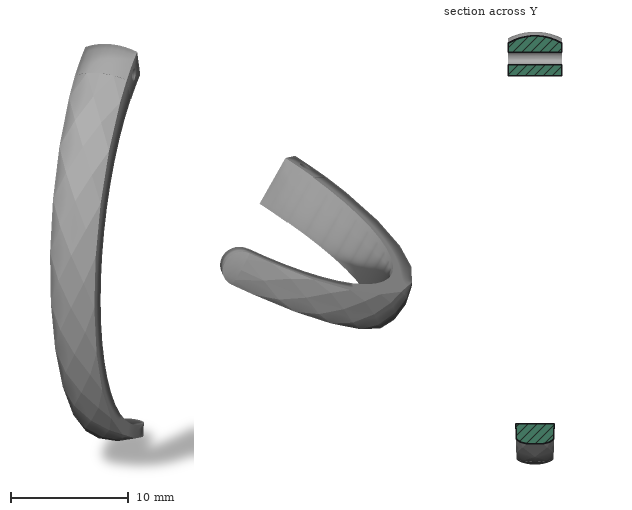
import cadquery as cq
import math

inner_radius = 16.85
head_angle = 68.2
facet_start_angle = 58.0
facet_end_angle = -79.8
facet_rows = 10

head_crest_radius = 19.95
tip_crest_radius = 18.3
head_width = 4.6
head_half_width = head_width / 2
tip_half_width = 1.58
head_mid_offset = 1.18
tip_mid_offset = 1.03
crown_radius = 4.78

pin_hole_diameter = 1.03
pin_hole_radius = 18.2
pin_hole_angle = 63.3

core_depth = 1.1
tip_overrun = 3.0
row_angle = (facet_start_angle - facet_end_angle) / facet_rows
stock_radius = inner_radius - core_depth


def crown_drop(x):
    """Drop of the crowned outer surface at a distance x from its crest."""
    return crown_radius - math.sqrt(crown_radius**2 - x**2)


def taper(head_value, tip_value, angle):
    """Value at an angle, changing evenly from the head to the tip."""
    travel = (facet_start_angle - angle) / (facet_start_angle - facet_end_angle)
    return head_value + travel * (tip_value - head_value)


def polar_point(x, radius, angle):
    turn = math.radians(angle)
    return cq.Vector(x, -radius * math.cos(turn), radius * math.sin(turn))


def outer_point(x, angle):
    crest = taper(head_crest_radius, tip_crest_radius, angle)
    return polar_point(x, crest - crown_drop(x), angle)


def crest_node(angle):
    return outer_point(0, angle)


def mid_node(angle, side):
    return outer_point(side * taper(head_mid_offset, tip_mid_offset, angle), angle)


def flat_face(*points):
    return cq.Face.makeFromWires(cq.Wire.makePolygon(points, close=True))


def edge_height(half_width, crest_radius, angle):
    """Z of the side edge where the band ends at an angle."""
    return polar_point(0, crest_radius - crown_drop(half_width), angle).z


head_edge_height = edge_height(head_half_width, head_crest_radius, facet_start_angle)
tip_edge_height = edge_height(tip_half_width, tip_crest_radius, facet_end_angle)
side_slope = (head_half_width - tip_half_width) / (head_edge_height - tip_edge_height)


def on_side_plane(radius, angle, side):
    """Point of a flat side wall, which leans only with height."""
    height = polar_point(0, radius, angle).z
    return polar_point(side * (tip_half_width + side_slope * (height - tip_edge_height)), radius, angle)


def stock_node(angle, side):
    return on_side_plane(stock_radius, angle, side)


def end_edge_node(half_width, angle, side):
    crest = taper(head_crest_radius, tip_crest_radius, angle)
    return on_side_plane(crest - crown_drop(half_width), angle, side)


def diamond_edge_node(angle, side):
    """Point at an angle where the plane of a diamond meets the side wall."""
    crest = crest_node(angle)
    upper_mid = mid_node(angle + row_angle / 2, side)
    lower_mid = mid_node(angle - row_angle / 2, side)
    diamond_normal = (upper_mid - crest).cross(lower_mid - crest)
    radial_normal = polar_point(0, 1, angle + 90)
    side_normal = cq.Vector(side, 0, -side_slope)
    diamond_offset = diamond_normal.dot(crest)
    side_offset = tip_half_width - side_slope * tip_edge_height
    weighted = radial_normal.cross(side_normal) * diamond_offset
    weighted += diamond_normal.cross(radial_normal) * side_offset
    return weighted * (1 / diamond_normal.dot(radial_normal.cross(side_normal)))


mid_angles = [facet_start_angle - row * row_angle for row in range(facet_rows + 1)]
diamond_angles = [angle - row_angle / 2 for angle in mid_angles[:-1]]
station_angles = [facet_start_angle] + diamond_angles + [facet_end_angle]


def facet_half(side):
    """Facets and side wall on one side of the crest."""
    crests = [crest_node(angle) for angle in station_angles]
    mids = [mid_node(angle, side) for angle in mid_angles]
    edges = [end_edge_node(head_half_width, facet_start_angle, side)]
    edges += [diamond_edge_node(angle, side) for angle in diamond_angles]
    edges += [end_edge_node(tip_half_width, facet_end_angle, side)]
    stock = [stock_node(angle, side) for angle in station_angles]

    faces = [flat_face(*edges, *reversed(stock))]
    for row in range(facet_rows):
        faces.append(flat_face(crests[row + 1], mids[row], edges[row + 1], mids[row + 1]))
    for row, mid in enumerate(mids):
        faces.append(flat_face(crests[row], crests[row + 1], mid))
        faces.append(flat_face(edges[row], edges[row + 1], mid))
    for end in (0, -1):
        stock_centre = polar_point(0, stock_radius, station_angles[end])
        faces.append(flat_face(stock_centre, stock[end], edges[end], mids[end], crests[end]))
    underside = [polar_point(0, stock_radius, angle) for angle in station_angles]
    for row in range(len(stock) - 1):
        faces.append(flat_face(underside[row], underside[row + 1], stock[row + 1], stock[row]))
    return faces


def faceted_band():
    faces = facet_half(-1) + facet_half(1)
    return cq.Workplane(cq.Solid.makeSolid(cq.Shell.makeShell(faces)))


def crowned_band(half_width, crest_radius, upper, lower):
    """Smooth band of constant section between two angles."""
    edge_radius = crest_radius - crown_drop(half_width)
    return (
        cq.Workplane("XY")
        .moveTo(-half_width, -stock_radius)
        .lineTo(-half_width, -edge_radius)
        .threePointArc((0, -crest_radius), (half_width, -edge_radius))
        .lineTo(half_width, -stock_radius)
        .close()
        .revolve(upper - lower, (0, 0, 0), (-1, 0, 0))
        .rotate((0, 0, 0), (-1, 0, 0), lower)
    )


def rounded_tip():
    """Plain end of the band, trimmed to a half round about a radial axis."""
    round_angle = math.degrees(tip_half_width / stock_radius)
    stock = crowned_band(tip_half_width, tip_crest_radius, facet_end_angle,
                         facet_end_angle - round_angle - tip_overrun)
    radial_axis = polar_point(0, 1, facet_end_angle)
    round_end = cq.Solid.makeCylinder(tip_half_width, head_crest_radius, cq.Vector(0, 0, 0), radial_axis)
    return stock.intersect(cq.Workplane(round_end))


def cross_cylinder(radius):
    """Cylinder along X on the bend axis, longer than the band is wide."""
    return cq.Workplane("YZ").circle(radius).extrude(head_width, both=True)


head = crowned_band(head_half_width, head_crest_radius, head_angle, facet_start_angle)
band = faceted_band().union(head).union(rounded_tip())
bore = cross_cylinder(inner_radius)
pin_hole = cross_cylinder(pin_hole_diameter / 2).translate(
    polar_point(0, pin_hole_radius, pin_hole_angle)
)
result = band.cut(bore).cut(pin_hole)